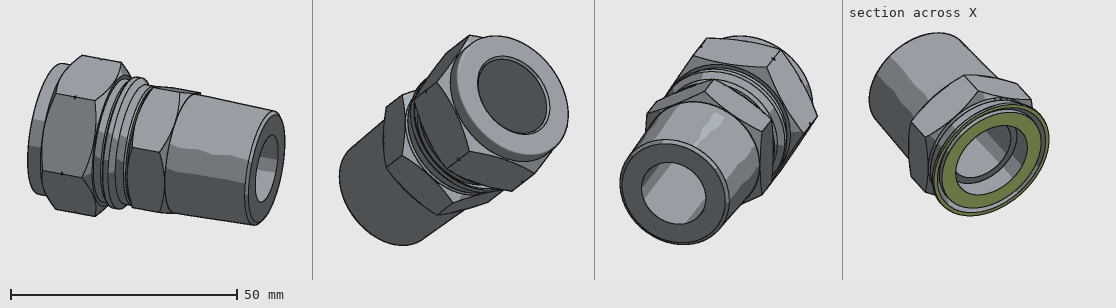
import cadquery as cq
import math

LENGTH = 51.05

NUT_FLATS = 30.0
NUT_START = 3.15
NUT_END = 15.3
NUT_FACE_DIAMETER = 29.5
BODY_FLATS = 27.0
BODY_START = 23.05
BODY_END = 31.9
BODY_FACE_DIAMETER = 26.9
HEX_CHAMFER_ANGLE = 30.0

COLLAR_DIAMETER = NUT_FACE_DIAMETER
COLLAR_ROUND = 0.5
SKIRT_DIAMETER = 27.8
SKIRT_END = 17.3
SKIRT_CHAMFER = 0.3

NECK_DIAMETER = 25.4
FLANGE_DIAMETER = 29.5
FLANGE_START = 17.75
FLANGE_END = 19.05
FLANGE_LIP = 0.3
SHOULDER_DIAMETER = BODY_FACE_DIAMETER
SHOULDER_START = 20.25
SHOULDER_END = 22.55
SHOULDER_CHAMFER = 0.4
GROOVE_BOTTOM_DIAMETER = SHOULDER_DIAMETER - 2 * SHOULDER_CHAMFER

PIPE_DIAMETER = 26.7
TAPER_START = 34.4
TAPER_RATIO = 1 / 16
PIPE_TIP_DIAMETER = 24.2
PIPE_CHAMFER_LENGTH = 0.6

THROUGH_DIAMETER = 15.1
SOCKET_DIAMETER = 18.15
SOCKET_DEPTH = 22.95
SOCKET_CHAMFER = 0.5

MARK_POSITION = 9.15
MARK_WIDTH = 0.5
MARK_DEPTH = 0.25


def corner_diameter(flats):
    """Width across corners of a hexagon."""
    return flats / math.cos(math.radians(30))


def revolve(points):
    """Turn an (x, radius) outline about the X axis."""
    return cq.Workplane("XY").polyline(points).close().revolve(360, (0, 0, 0), (1, 0, 0))


def chamfered_hexagon(flats, start, end, face_diameter):
    """Hexagon with corners on the Y axis and conical chamfers at both ends."""
    corner_radius = corner_diameter(flats) / 2
    face_radius = face_diameter / 2
    run = (corner_radius - face_radius) * math.tan(math.radians(HEX_CHAMFER_ANGLE))
    hexagon = (
        cq.Workplane("YZ")
        .workplane(offset=start)
        .polygon(6, 2 * corner_radius)
        .extrude(end - start)
    )
    envelope = revolve([
        (start, 0),
        (start, face_radius),
        (start + run, corner_radius),
        (end - run, corner_radius),
        (end, face_radius),
        (end, 0),
    ])
    return hexagon.intersect(envelope)


def turned_profile():
    """All round outer surfaces, from the nut collar to the pipe tip."""
    collar = COLLAR_DIAMETER / 2
    skirt = SKIRT_DIAMETER / 2
    neck = NECK_DIAMETER / 2
    flange = FLANGE_DIAMETER / 2
    shoulder = SHOULDER_DIAMETER / 2
    groove = GROOVE_BOTTOM_DIAMETER / 2
    hex_face = BODY_FACE_DIAMETER / 2
    dish_radius = flange - FLANGE_LIP
    dish_depth = dish_radius - neck
    pipe = PIPE_DIAMETER / 2
    taper_end = LENGTH - PIPE_CHAMFER_LENGTH
    taper_end_radius = pipe - (taper_end - TAPER_START) * TAPER_RATIO / 2
    diagonal = math.sqrt(0.5)
    collar_round_middle = (COLLAR_ROUND * (1 - diagonal), collar - COLLAR_ROUND * (1 - diagonal))
    body_round_middle = (
        BODY_START - (BODY_START - SHOULDER_END) * diagonal,
        groove + (hex_face - groove) * diagonal,
    )
    outline = (
        cq.Workplane("XY")
        .lineTo(0, collar - COLLAR_ROUND)
        .threePointArc(collar_round_middle, (COLLAR_ROUND, collar))
        .lineTo(NUT_START, collar)
        .lineTo(NUT_START, skirt)
        .lineTo(SKIRT_END - SKIRT_CHAMFER, skirt)
        .lineTo(SKIRT_END, skirt - SKIRT_CHAMFER)
        .lineTo(SKIRT_END, neck)
        .lineTo(FLANGE_START + dish_depth, neck)
        .lineTo(FLANGE_START, dish_radius)
        .lineTo(FLANGE_START, flange)
        .lineTo(FLANGE_END, flange)
        .lineTo(SHOULDER_START, shoulder)
        .lineTo(SHOULDER_END - SHOULDER_CHAMFER, shoulder)
        .lineTo(SHOULDER_END, groove)
        .threePointArc(body_round_middle, (BODY_START, hex_face))
        .lineTo(BODY_END, pipe)
        .lineTo(TAPER_START, pipe)
        .lineTo(taper_end, taper_end_radius)
        .lineTo(LENGTH, PIPE_TIP_DIAMETER / 2)
        .lineTo(LENGTH, 0)
        .close()
    )
    return outline.revolve(360, (0, 0, 0), (1, 0, 0))


def bore():
    """Through bore with a chamfered tube socket at the nut end."""
    through = THROUGH_DIAMETER / 2
    socket = SOCKET_DIAMETER / 2
    return revolve([
        (0, 0),
        (0, socket + SOCKET_CHAMFER),
        (SOCKET_CHAMFER, socket),
        (SOCKET_DEPTH, socket),
        (SOCKET_DEPTH, through),
        (LENGTH, through),
        (LENGTH, 0),
    ])


def corner_marks():
    """Ring of V section that only reaches the hexagon corners of the nut."""
    corner_radius = corner_diameter(NUT_FLATS) / 2
    return revolve([
        (MARK_POSITION - MARK_WIDTH / 2, corner_radius),
        (MARK_POSITION, corner_radius - MARK_DEPTH),
        (MARK_POSITION + MARK_WIDTH / 2, corner_radius),
    ])


nut_hexagon = chamfered_hexagon(NUT_FLATS, NUT_START, NUT_END, NUT_FACE_DIAMETER)
body_hexagon = chamfered_hexagon(BODY_FLATS, BODY_START, BODY_END, BODY_FACE_DIAMETER)
body_hexagon = body_hexagon.rotate((0, 0, 0), (1, 0, 0), 90)

result = (
    turned_profile()
    .union(nut_hexagon.cut(corner_marks()))
    .union(body_hexagon)
    .cut(bore())
)